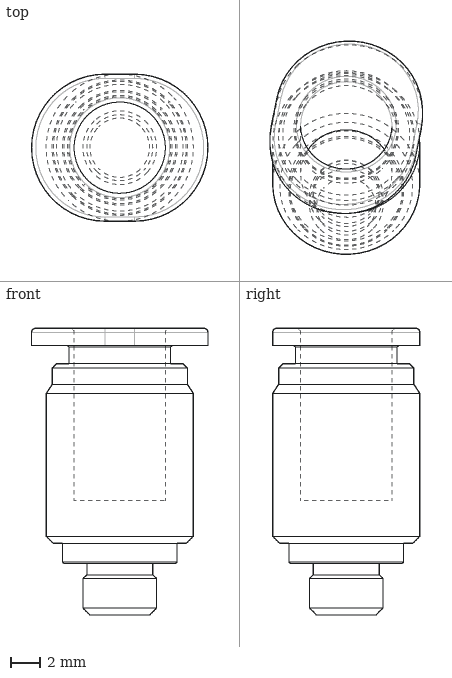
import cadquery as cq

height = 19.5
body_diameter = 10.0
flange_length = 12.0

plug_chamfer = 0.49
plug_top = 2.5
groove_bottom = 2.75
seat_bottom = 3.51
body_bottom = 4.88
body_chamfer = 0.49
cone_bottom = 15.07
collar_bottom = 15.68
collar_top = 17.08
flange_thickness = 1.19
flange_bottom = height - flange_thickness

plug_diameter = 5.01
groove_diameter = 4.48
seat_diameter = 7.8
seat_chamfer = 0.1
collar_diameter = 9.2
collar_chamfer = 0.3
neck_diameter = 6.92
neck_flare = 0.1

edge_radius = 0.3
bore_diameter = 6.2
bore_depth = 11.7


def turned_body():
    """Revolve the stepped half profile from the plug up to the flange."""
    plug_r = plug_diameter / 2
    groove_r = groove_diameter / 2
    seat_r = seat_diameter / 2
    body_r = body_diameter / 2
    collar_r = collar_diameter / 2
    neck_r = neck_diameter / 2
    profile = [
        (0, 0),
        (plug_r - plug_chamfer, 0),
        (plug_r, plug_chamfer),
        (plug_r, plug_top),
        (groove_r, groove_bottom),
        (groove_r, seat_bottom),
        (seat_r - seat_chamfer, seat_bottom),
        (seat_r, seat_bottom + seat_chamfer),
        (seat_r, body_bottom),
        (body_r - body_chamfer, body_bottom),
        (body_r, body_bottom + body_chamfer),
        (body_r, cone_bottom),
        (collar_r, collar_bottom),
        (collar_r, collar_top - collar_chamfer),
        (collar_r - collar_chamfer, collar_top),
        (neck_r, collar_top),
        (neck_r, flange_bottom - neck_flare),
        (neck_r + neck_flare, flange_bottom),
        (0, flange_bottom),
    ]
    return cq.Workplane("XZ").polyline(profile).close().revolve(360, (0, 0), (0, 1))


def release_flange():
    """Flat-sided round plate at the top end, as wide as the body."""
    plate = cq.Workplane("XY").workplane(offset=flange_bottom)
    return plate.slot2D(flange_length, body_diameter).extrude(flange_thickness)


def tube_bore():
    """Blind round bore, cut down from the top end."""
    top = cq.Workplane("XY").workplane(offset=height)
    return top.circle(bore_diameter / 2).extrude(-bore_depth)


result = turned_body().union(release_flange()).cut(tube_bore())

result = result.faces(">Z").edges().fillet(edge_radius)